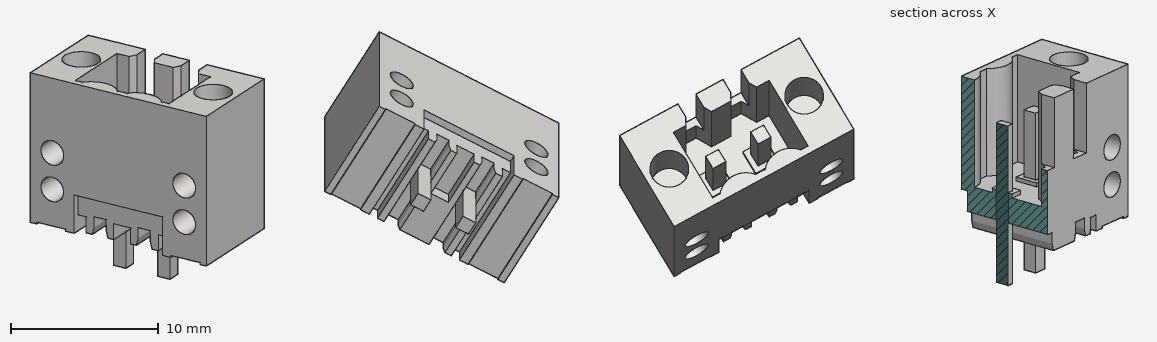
import cadquery as cq

width = 14.0
depth = 7.45
total_height = 14.25
pin_drop = 3.19
height = total_height - pin_drop
front = -depth / 2
back = depth / 2

pitch = 3.5
contact_xs = [-pitch / 2, pitch / 2]
pin_size = 1.0
pin_y = front + 3.52
pin_back = pin_y + pin_size / 2
pin_top = 8.41

cavity_width = 7.44
front_wall = 0.5
back_wall = 1.61
cavity_front = front + front_wall
cavity_back = back - back_wall
cavity_floor = 3.28
boss_size = 1.77
boss_height = 0.28

groove_base_width = 2.0
groove_tip_width = 0.8
groove_depth = 1.05
slot_width = 1.4
slot_floor = 6.0
rib_radius = 1.78
rib_rise = 0.65

flange_x = 5.25
screw_hole_diameter = 2.61
screw_hole_depth = 3.99
cross_hole_diameter = 1.8
cross_hole_heights = [2.85, 5.55]

recess_width = 7.01
recess_height = 2.84
recess_depth = 0.5
channel_width = 0.63
channel_height = 1.18
pin_slot_width = 0.95
pin_slot_height = 1.34
flare_width = 1.24
flare_height = 0.53
middle_slot_width = 1.35
foot_gap_x = 5.35
foot_gap_width = 2.3
foot_gap_height = 0.14


def block(x_size, y_start, y_end, z_start, z_end, x=0.0):
    """Box centred on x that spans the given Y and Z ranges."""
    box = cq.Workplane("XY").box(x_size, y_end - y_start, z_end - z_start, centered=(True, False, False))
    return box.translate((x, y_start, z_start))


def make_pin(x):
    """Straight square pin, also used to cut its own hole in the housing."""
    half = pin_size / 2
    return block(pin_size, pin_y - half, pin_y + half, -pin_drop, pin_top, x)


def key_groove(x):
    """Tapered groove in the back wall of the cavity."""
    base = groove_base_width / 2
    tip = groove_tip_width / 2
    groove_back = cavity_back + groove_depth
    outline = [
        (x - base, cavity_back),
        (x + base, cavity_back),
        (x + tip, groove_back),
        (x - tip, groove_back),
    ]
    profile = cq.Workplane("XY").workplane(offset=cavity_floor).polyline(outline).close()
    return profile.extrude(height - cavity_floor)


def front_rib(x):
    """Rounded rib that bulges from the front wall into the cavity."""
    rib_center_y = cavity_front + rib_rise - rib_radius
    cylinder = (
        cq.Workplane("XY")
        .workplane(offset=cavity_floor)
        .center(x, rib_center_y)
        .circle(rib_radius)
        .extrude(height - cavity_floor)
    )
    inside = block(2 * rib_radius, cavity_front, cavity_front + rib_rise, cavity_floor, height, x)
    return cylinder.intersect(inside)


def pin_collar(x):
    """Low square collar on the cavity floor."""
    half = boss_size / 2
    return block(boss_size, pin_y - half, pin_y + half, cavity_floor, cavity_floor + boss_height, x)


def mating_cavity():
    """Space cut out of the top, with its grooves, ribs and collars."""
    cavity = block(cavity_width, cavity_front, cavity_back, cavity_floor, height)
    for x in contact_xs:
        cavity = cavity.union(key_groove(x))
        cavity = cavity.union(block(slot_width, cavity_back, back, slot_floor, height, x))
        cavity = cavity.cut(front_rib(x))
        cavity = cavity.cut(pin_collar(x))
    return cavity


def pin_slot(x):
    """Underside slot from front to back past a pin, flared at its mouth."""
    half = pin_slot_width / 2
    flare = flare_width / 2
    outline = [
        (x - flare, 0),
        (x - half, flare_height),
        (x - half, pin_slot_height),
        (x + half, pin_slot_height),
        (x + half, flare_height),
        (x + flare, 0),
    ]
    return cq.Workplane("XZ", origin=(0, front, 0)).polyline(outline).close().extrude(-depth)


def cut_flange_holes(body):
    """Blind screw holes from the top and cross holes from front to back."""
    flange_xs = [-flange_x, flange_x]
    screw_holes = (
        cq.Workplane("XY")
        .workplane(offset=height - screw_hole_depth)
        .pushPoints([(x, 0) for x in flange_xs])
        .circle(screw_hole_diameter / 2)
        .extrude(screw_hole_depth)
    )
    cross_holes = (
        cq.Workplane("XZ", origin=(0, front, 0))
        .pushPoints([(x, z) for x in flange_xs for z in cross_hole_heights])
        .circle(cross_hole_diameter / 2)
        .extrude(-depth)
    )
    return body.cut(screw_holes).cut(cross_holes)


def cut_underside(body):
    """Front recess, channels, slots and the gaps between the feet."""
    body = body.cut(block(recess_width, front, front + recess_depth, 0, recess_height))
    body = body.cut(block(middle_slot_width, front, pin_back, 0, channel_height))
    channel_x = (recess_width - channel_width) / 2
    for side in (-1, 1):
        body = body.cut(block(channel_width, front, back, 0, channel_height, side * channel_x))
        body = body.cut(block(foot_gap_width, front, back, 0, foot_gap_height, side * foot_gap_x))
    for x in contact_xs:
        body = body.cut(pin_slot(x))
    return body


def make_housing():
    """Housing with its cavity, holes, underside cuts and a hole for each pin."""
    body = block(width, front, back, 0, height)
    body = body.cut(mating_cavity())
    body = cut_flange_holes(body)
    body = cut_underside(body)
    for x in contact_xs:
        body = body.cut(make_pin(x))
    return body


housing = make_housing()
pins = [make_pin(x) for x in contact_xs]

result = cq.Compound.makeCompound([housing.val(), *[pin.val() for pin in pins]])